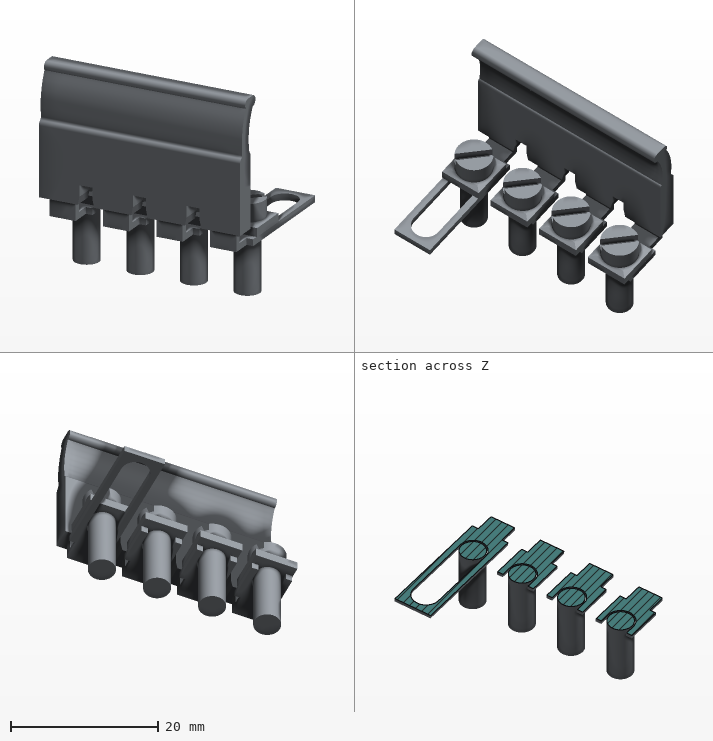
import cadquery as cq
import math


POLE_COUNT = 4
POLE_PITCH = 8.2
POLE_X = [(i - (POLE_COUNT - 1) / 2) * POLE_PITCH for i in range(POLE_COUNT)]

SCREW_Y = 8.1
SHANK_DIAMETER = 3.8
SHANK_LENGTH = 8.5
HEAD_DIAMETER = 5.3
HEAD_TOP_Z = 5.2
DRIVER_SLOT_WIDTH = 1.1
DRIVER_SLOT_DEPTH = 1.2
DRIVER_SLOT_ANGLE = 45.0
WASHER_SIDE = 6.2
WASHER_RIM_THICKNESS = 1.3
WASHER_BEVEL_INSET = 0.85
WASHER_BEVEL_HEIGHT = 0.2

STRIP_THICKNESS = 1.0
LEG_WIDTH = 4.0
LEG_FRONT_Y = 1.0
TONGUE_WIDTH = 6.0
TONGUE_START_Y = 4.0
SHORT_TONGUE_END_Y = 9.7
LONG_TONGUE_END_Y = 22.2
SLOT_WIDTH = 4.1
SLOT_END_WALL = 1.1

HOUSING_LENGTH = POLE_PITCH * (POLE_COUNT - 1) + WASHER_SIDE
HOUSING_BOTTOM_Z = 2.9
HOUSING_DEPTH = 3.0
SHOULDER_Z = 14.2
FRONT_SHOULDER_RADIUS = 0.83
BACK_SHOULDER_RADIUS = 0.4
SHOULDER_FILLET_RADIUS = 0.45
NOTCH_WIDTH = POLE_PITCH - WASHER_SIDE
NOTCH_HEIGHT = 2.9
NOTCH_FLARE_WIDTH = 0.25
NOTCH_FLARE_HEIGHT = 1.2

GRIP_THICKNESS = 2.0
GRIP_OUTER_RADIUS = 10.75
GRIP_INNER_RADIUS = GRIP_OUTER_RADIUS - GRIP_THICKNESS
GRIP_FRONT_Y = 0.5
GRIP_CENTER_Y = GRIP_FRONT_Y + GRIP_OUTER_RADIUS
GRIP_CENTER_Z = 16.1
BEAD_TOP_Z = 22.15
BEAD_HEIGHT = 1.6
BEAD_LENGTH = 3.0
BEAD_FRONT_Y = 1.5
BEAD_CENTER_Z = BEAD_TOP_Z - BEAD_HEIGHT / 2
GRIP_TOP_Z = BEAD_CENTER_Z - BEAD_HEIGHT / 4
GRIP_BOTTOM_Z = SHOULDER_Z - BACK_SHOULDER_RADIUS


def block(x_center, width, y_start, y_end, z_start, z_end):
    """Axis-aligned block, centred on x_center and spanning the given Y and Z ranges."""
    return (
        cq.Workplane("XY", origin=(x_center, y_start, z_start))
        .box(width, y_end - y_start, z_end - z_start, centered=(True, False, False))
    )


def housing_section():
    """YZ sketch plane at the -X end of the housing."""
    return cq.Workplane("YZ", origin=(-HOUSING_LENGTH / 2, 0, 0))


def grip_y(radius, z):
    """Y of a grip face of the given radius at height z."""
    return GRIP_CENTER_Y - math.sqrt(radius**2 - (z - GRIP_CENTER_Z) ** 2)


def make_grip():
    outer, inner = GRIP_OUTER_RADIUS, GRIP_INNER_RADIUS
    wall = (
        housing_section()
        .moveTo(grip_y(outer, GRIP_BOTTOM_Z), GRIP_BOTTOM_Z)
        .threePointArc((GRIP_CENTER_Y - outer, GRIP_CENTER_Z), (grip_y(outer, GRIP_TOP_Z), GRIP_TOP_Z))
        .lineTo(grip_y(inner, GRIP_TOP_Z), GRIP_TOP_Z)
        .threePointArc((GRIP_CENTER_Y - inner, GRIP_CENTER_Z), (grip_y(inner, GRIP_BOTTOM_Z), GRIP_BOTTOM_Z))
        .close()
        .extrude(HOUSING_LENGTH)
    )
    bead = (
        housing_section()
        .center(BEAD_FRONT_Y + BEAD_LENGTH / 2, BEAD_CENTER_Z)
        .slot2D(BEAD_LENGTH, BEAD_HEIGHT)
        .extrude(HOUSING_LENGTH)
    )
    return wall.union(bead)


def make_notch(x_center):
    """Gap between two poles, flared towards the underside of the housing."""
    half = NOTCH_WIDTH / 2
    flared_half = half + NOTCH_FLARE_WIDTH
    top_z = HOUSING_BOTTOM_Z + NOTCH_HEIGHT
    flare_z = HOUSING_BOTTOM_Z + NOTCH_FLARE_HEIGHT
    return (
        cq.Workplane("XZ", origin=(x_center, 0, 0))
        .moveTo(-flared_half, HOUSING_BOTTOM_Z)
        .lineTo(-half, flare_z)
        .lineTo(-half, top_z)
        .lineTo(half, top_z)
        .lineTo(half, flare_z)
        .lineTo(flared_half, HOUSING_BOTTOM_Z)
        .close()
        .extrude(-HOUSING_DEPTH)
    )


def make_housing():
    body = block(0, HOUSING_LENGTH, 0, HOUSING_DEPTH, HOUSING_BOTTOM_Z, SHOULDER_Z)
    body = body.edges(">Z and <Y").fillet(FRONT_SHOULDER_RADIUS)
    body = body.edges(">Z and >Y").fillet(BACK_SHOULDER_RADIUS)
    body = body.union(make_grip())
    front_corner = (0, grip_y(GRIP_OUTER_RADIUS, SHOULDER_Z), SHOULDER_Z)
    body = body.edges(cq.selectors.NearestToPointSelector(front_corner)).fillet(SHOULDER_FILLET_RADIUS)
    for left_x, right_x in zip(POLE_X, POLE_X[1:]):
        body = body.cut(make_notch((left_x + right_x) / 2))
    return body


def make_strip(x_center, tongue_end_y, slot_end_y):
    """Contact strip whose slot runs from the screw axis to slot_end_y."""
    leg_back_y = LEG_FRONT_Y + STRIP_THICKNESS
    leg = block(x_center, LEG_WIDTH, LEG_FRONT_Y, leg_back_y, 0, HOUSING_BOTTOM_Z)
    neck = block(x_center, LEG_WIDTH, LEG_FRONT_Y, TONGUE_START_Y, 0, STRIP_THICKNESS)
    tongue = block(x_center, TONGUE_WIDTH, TONGUE_START_Y, tongue_end_y, 0, STRIP_THICKNESS)
    slot_start_y = SCREW_Y - SLOT_WIDTH / 2
    slot = (
        cq.Workplane("XY", origin=(x_center, (slot_start_y + slot_end_y) / 2, 0))
        .slot2D(slot_end_y - slot_start_y, SLOT_WIDTH, 90)
        .extrude(STRIP_THICKNESS)
    )
    return leg.union(neck).union(tongue.cut(slot))


def make_short_strip(x_center):
    """Strip whose slot opens through the end of the tongue."""
    return make_strip(x_center, SHORT_TONGUE_END_Y, SHORT_TONGUE_END_Y + SLOT_WIDTH)


def make_long_strip(x_center):
    """Strip with a closed slot in a long tongue."""
    return make_strip(x_center, LONG_TONGUE_END_Y, LONG_TONGUE_END_Y - SLOT_END_WALL)


def make_screw(x_center):
    """Slotted screw together with its bevelled square washer."""
    rim_z = STRIP_THICKNESS + WASHER_RIM_THICKNESS
    head_seat_z = rim_z + WASHER_BEVEL_HEIGHT
    bevel_top_side = WASHER_SIDE - 2 * WASHER_BEVEL_INSET
    axis = cq.Workplane("XY", origin=(x_center, SCREW_Y, 0))
    shank = (
        axis.workplane(offset=-SHANK_LENGTH)
        .circle(SHANK_DIAMETER / 2)
        .extrude(SHANK_LENGTH + rim_z)
    )
    washer = (
        axis.workplane(offset=STRIP_THICKNESS)
        .rect(WASHER_SIDE, WASHER_SIDE)
        .extrude(WASHER_RIM_THICKNESS)
    )
    bevel = (
        axis.workplane(offset=rim_z)
        .rect(WASHER_SIDE, WASHER_SIDE)
        .workplane(offset=WASHER_BEVEL_HEIGHT)
        .rect(bevel_top_side, bevel_top_side)
        .loft(ruled=True)
    )
    head = (
        axis.workplane(offset=head_seat_z)
        .circle(HEAD_DIAMETER / 2)
        .extrude(HEAD_TOP_Z - head_seat_z)
    )
    driver_slot = (
        axis.workplane(offset=HEAD_TOP_Z - DRIVER_SLOT_DEPTH)
        .transformed(rotate=(0, 0, DRIVER_SLOT_ANGLE))
        .rect(HEAD_DIAMETER * 2, DRIVER_SLOT_WIDTH)
        .extrude(DRIVER_SLOT_DEPTH)
    )
    return washer.union(bevel).union(head).cut(driver_slot).union(shank)


def make_bridge():
    bridge = make_housing()
    for x_center in POLE_X[:-1]:
        bridge = bridge.union(make_short_strip(x_center))
    bridge = bridge.union(make_long_strip(POLE_X[-1]))
    for x_center in POLE_X:
        bridge = bridge.union(make_screw(x_center))
    return bridge


result = make_bridge()